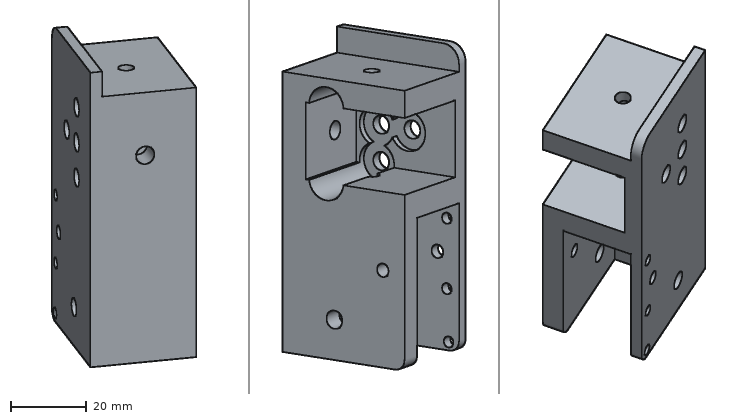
import cadquery as cq

width = 39.0
depth = 29.1
height = 83.6

plate_thickness = 3.2
top_corner_radius = 5
bottom_corner_radius = 3.0
leg_thickness = 6.0
arm_thickness = 7.4
side_wall_thickness = 7.4
upper_arm_top = 76.5
lower_arm_top = 48.1
upper_pocket_front = 5

upper_arm_bottom = upper_arm_top - arm_thickness
lower_arm_bottom = lower_arm_top - arm_thickness
pocket_width = width - side_wall_thickness

cross_x = 25.0
cross_z = 58.7
cross_pitch = 9.95
screw_diameter = 5
head_diameter = 11.0
head_seat_y = 3.0
cross_points = [
    (cross_x, cross_z),
    (cross_x - cross_pitch, cross_z),
    (cross_x, cross_z + cross_pitch),
    (cross_x, cross_z - cross_pitch),
]

lower_hole_point = (22.4, 11.0)
pivot_diameter = 3.7
pivot_point = (6.9, 26.6)
pin_diameter = 3.0
pin_points = [(3.9, 36.0), (3.9, 16.8), (3.35, 2.3)]
vertical_diameter = 4.3
vertical_x = 19.9
cross_drill_y = 15.05
side_hole_diameter = 5


def block(x_size, y_range, z_range):
    """Box starting at x = 0 that spans the given Y and Z ranges."""
    y_start, y_end = y_range
    z_start, z_end = z_range
    box = cq.Workplane("XY").box(x_size, y_end - y_start, z_end - z_start, centered=False)
    return box.translate((0, y_start, z_start))


def cylinders_along_y(points, diameter, y_start, y_end):
    """Cylinders parallel to Y at the given (x, z) points."""
    plane = cq.Workplane("XZ", origin=(0, y_start, 0))
    return plane.pushPoints(points).circle(diameter / 2).extrude(y_start - y_end)


def make_body():
    """Plate and rear block with the -X corners rounded and both pockets opened."""
    plate = block(width, (0, plate_thickness), (0, height))
    plate = plate.edges("|Y and <X and >Z").fillet(top_corner_radius)
    rear_block = block(width, (plate_thickness, depth), (0, upper_arm_top))
    body = plate.union(rear_block)
    body = body.edges("|Y and <X and <Z").fillet(bottom_corner_radius)
    upper_pocket = block(pocket_width, (upper_pocket_front, depth), (lower_arm_top, upper_arm_bottom))
    lower_pocket = block(pocket_width, (plate_thickness, depth - leg_thickness), (0, lower_arm_bottom))
    return body.cut(upper_pocket).cut(lower_pocket)


def drill_y_holes(body):
    """Screw, pivot and pin holes, all parallel to Y."""
    body = body.cut(cylinders_along_y(cross_points, screw_diameter, 0, depth))
    for point in cross_points:
        body = body.cut(cylinders_along_y([point], head_diameter, head_seat_y, depth))
    body = body.cut(cylinders_along_y([lower_hole_point], screw_diameter, 0, depth))
    body = body.cut(cylinders_along_y([pivot_point], pivot_diameter, 0, depth))
    return body.cut(cylinders_along_y(pin_points, pin_diameter, 0, plate_thickness))


def drill_cross_holes(body):
    """Vertical hole through both arms and a hole through the side wall."""
    vertical = cq.Workplane("XY").center(vertical_x, cross_drill_y)
    vertical = vertical.circle(vertical_diameter / 2).extrude(upper_arm_top)
    side = cq.Workplane("YZ").center(cross_drill_y, cross_z)
    side = side.circle(side_hole_diameter / 2).extrude(width)
    return body.cut(vertical).cut(side)


result = drill_cross_holes(drill_y_holes(make_body()))